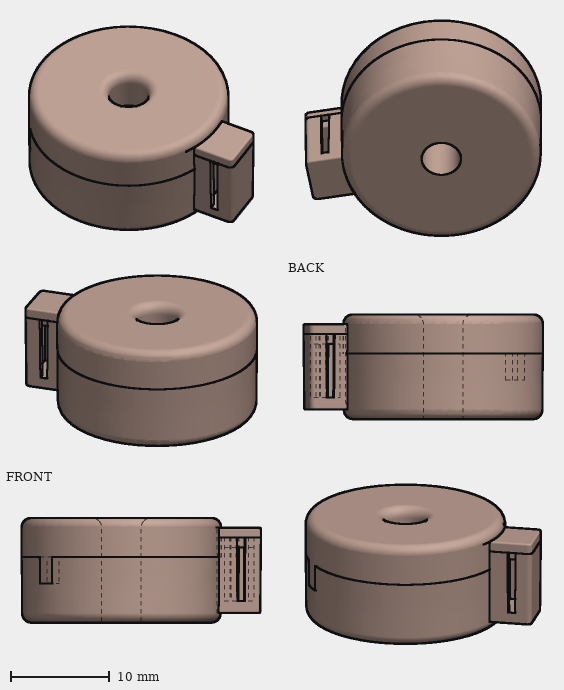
import cadquery as cq
import math

case_radius = 10.14
case_height = 10.65
cap_height = 3.99
split_z = case_height - cap_height
rim_radius = 1.0
draft_angle = 0.5
draft_slope = math.tan(math.radians(draft_angle))

bore_radius = 2.0
mouth_radius = 1.02

lug_angle = 8.7
lug_end = 13.85
lug_width = 4.95
lug_offset = -1.12
lug_start = 7.3
lug_bottom = 0.97
lug_top = case_height - rim_radius
lid_thickness = 1.02
lid_z = lug_top - lid_thickness
lug_corner_radius = 0.49
lug_edge_radius = 0.2

wall = 0.7
cavity_start = 10.7
slot_start = 11.33
slot_end = 12.18
slot_bottom = 2.2
plug_height = 1.0
plug_edge_radius = 0.2

key_angle = 220.6
key_width = 1.9
key_height = 2.67
key_depth = 1.0


def turn(body, angle):
    """Turn a body about the case axis."""
    return body.rotate((0, 0, 0), (0, 0, 1), angle)


def cylinder(radius, bottom, height):
    return cq.Workplane("XY").workplane(offset=bottom).circle(radius).extrude(height)


def housing_drum():
    """Round part of the housing, narrowing slightly downwards."""
    bottom_radius = case_radius - split_z * draft_slope
    profile = [(0, 0), (bottom_radius, 0), (case_radius, split_z), (0, split_z)]
    drum = cq.Workplane("XZ").polyline(profile).close().revolve(360, (0, 0), (0, 1))
    return drum.faces("<Z").edges().fillet(rim_radius)


def lug_block(z, height, draft):
    """Lug with rounded outer corners; negative height extrudes downwards."""
    block = (
        cq.Workplane("XY", origin=(0, lug_offset, z))
        .center((lug_start + lug_end) / 2, 0)
        .rect(lug_end - lug_start, lug_width)
        .extrude(height, taper=draft)
    )
    block = block.faces(">X").edges("not |Y").fillet(lug_corner_radius)
    outer_face = ">Z" if height > 0 else "<Z"
    return block.faces(outer_face).edges().fillet(lug_edge_radius)


def slot_cutter():
    """Slot across the whole lug, narrowing downwards with the draft."""
    inset = (lid_z - slot_bottom) * draft_slope
    outline = [
        (slot_start, lid_z),
        (slot_end, lid_z),
        (slot_end - inset, slot_bottom),
        (slot_start + inset, slot_bottom),
    ]
    return (
        cq.Workplane("XZ", origin=(0, lug_offset, 0))
        .polyline(outline).close().extrude(lug_width, both=True)
    )


def cavity_block(bottom):
    """Space between the lug walls, from the given height up to the lid."""
    length = lug_end - wall - cavity_start
    return (
        cq.Workplane("XY", origin=(cavity_start + length / 2, lug_offset, bottom))
        .rect(length, lug_width - 2 * wall)
        .extrude(lid_z - bottom)
    )


def lid_plug():
    """Plug under the lid that fills the top of the lug hollow."""
    return cavity_block(lid_z - plug_height).faces("<Z").edges("|X").fillet(plug_edge_radius)


def locating_key():
    """Tapered key hanging below the cap, following the housing wall."""
    half_top = key_width / 2
    half_bottom = half_top - key_height * draft_slope
    key_bottom = split_z - key_height
    outline = [
        (-half_top, split_z),
        (half_top, split_z),
        (half_bottom, key_bottom),
        (-half_bottom, key_bottom),
    ]
    inner_face = case_radius - key_depth
    blank = (
        cq.Workplane("YZ", origin=(inner_face, 0, 0))
        .polyline(outline).close().extrude(2 * key_depth)
    )
    return turn(blank.intersect(housing_drum()), key_angle)


def make_housing():
    lug = lug_block(lid_z, lug_bottom - lid_z, draft_angle)
    lug = lug.cut(slot_cutter()).cut(cavity_block(slot_bottom))
    lug = turn(lug, lug_angle).cut(cylinder(case_radius, split_z, cap_height))
    housing = housing_drum().union(lug)
    return housing.cut(cylinder(bore_radius, 0, case_height)).cut(locating_key())


def make_cap():
    cap = cylinder(case_radius, split_z, cap_height)
    cap = cap.cut(cylinder(bore_radius, split_z, cap_height))
    cap = cap.faces(">Z").edges(cq.selectors.RadiusNthSelector(1)).fillet(rim_radius)
    cap = cap.faces(">Z").edges(cq.selectors.RadiusNthSelector(0)).fillet(mouth_radius)
    lid = lug_block(lid_z, lid_thickness, 0)
    cap = cap.union(turn(lid.union(lid_plug()), lug_angle))
    return cap.union(locating_key())


housing = make_housing()
cap = make_cap()
result = cq.Compound.makeCompound([housing.val(), cap.val()])